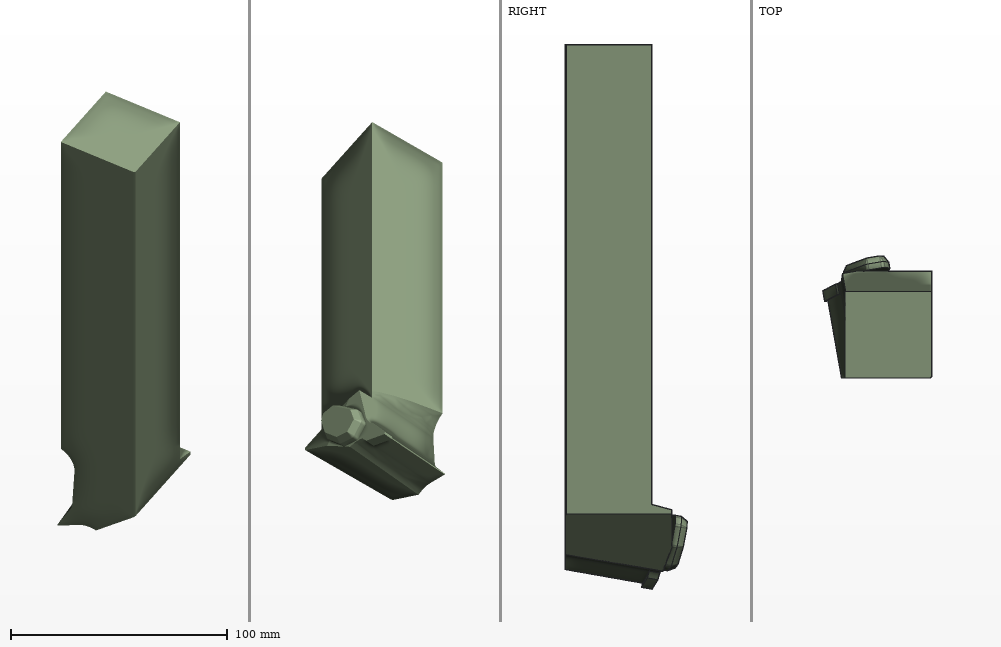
import cadquery as cq
import math

SHANK = 40.0
TOTAL_LENGTH = 251.35
CORNER_CHAMFER = 0.7

HEAD_TILT = 10.0
LEAN = math.tan(math.radians(HEAD_TILT))
FACE_LEVEL = 41.9
HEAD_DIRECTION = cq.Vector(-LEAN, 1, -LEAN)
CUT_REACH = 65.0
FAR = 100.0

HEAD_BACK = 49.3
END_CUT_START = 35.0
HEAD_LEFT = -15.0
SHOULDER_TOP = 39.2
SHOULDER_DROP = 2.5
END_SLOPE_HIGH = 34.7
END_SLOPE_ANGLE = 41.7

GROOVE_RADIUS = 10.6
GROOVE_CENTER = (-3.2, 48.1)
FLANK_ANGLE = 3.3
FLANK_BOTTOM = 26.3
RAKE_ANGLE = 28.5
RAKE_BLEND_RADIUS = 10.0
EDGE_Z = 9.8
EDGE_LAND = 0.7

CLEARANCE_ANGLE = 27.0
CLEARANCE_LENGTH = 13.2
CLEARANCE_RADIUS = 12.5
CLEARANCE_EXIT_ANGLE = 25.0

INSERT_THICKNESS = 5.0
INSERT_TIP = (-3.29, 8.18)
INSERT_LAND = (0.45, -1.1)
INSERT_RAKE_LENGTH = 13.5
INSERT_TOP = (3.0, 1.7)
INSERT_BACK = (5.5, -4.5)
INSERT_BASE_LENGTH = 12.2
INSERT_BASE_ANGLE = 23.5

LUG_OUTLINE = [
    (10.3, 34.5), (18.2, 34.5), (21, 30), (20, 20),
    (13, 10.5), (4.8, 8), (-1.8, 13.5), (-0.5, 22.5),
]
LUG_PLANE_Y = 49.0
LUG_HEIGHT = 6.0
LUG_CHAMFER_DEPTH = 3.2
LUG_CHAMFER_WIDTH = 1.8
LUG_CORNER_RADIUS = 3.81 / 2


def along(point, length, angle_from_x):
    angle = math.radians(angle_from_x)
    return (point[0] + length * math.cos(angle), point[1] + length * math.sin(angle))


def shifted(point, offset):
    return (point[0] + offset[0], point[1] + offset[1])


def oblique_prism(outline):
    """Push an (X, Z) outline held at Y = 0 along the oblique direction of the head."""
    return cq.Workplane(cq.Solid.extrudeLinear(outline.wire().val(), [], HEAD_DIRECTION * CUT_REACH))


def xz_sketch():
    return cq.Workplane(cq.Plane((0, 0, 0), (1, 0, 0), (0, -1, 0)))


def oblique_slab(low, high):
    """Material between two distances from the oblique end face."""
    plane = cq.Plane((0, FACE_LEVEL, 0), (1, LEAN, 0), HEAD_DIRECTION)
    return cq.Workplane(plane).workplane(offset=low).rect(2 * FAR, 2 * FAR).extrude(high - low)


def make_blank():
    shank = cq.Workplane().box(SHANK, SHANK, TOTAL_LENGTH, centered=False)
    head = (
        cq.Workplane("YZ", origin=(HEAD_LEFT, 0, 0))
        .polyline([(0, 0), (HEAD_BACK, 0), (HEAD_BACK, SHOULDER_TOP - SHOULDER_DROP),
                   (SHANK, SHOULDER_TOP), (0, SHOULDER_TOP)])
        .close()
        .extrude(SHANK - HEAD_LEFT)
    )
    end_low = END_SLOPE_HIGH - SHANK * math.tan(math.radians(END_SLOPE_ANGLE))
    end_cut = (
        xz_sketch()
        .polyline([(SHANK, END_SLOPE_HIGH), (0, end_low), (SHANK, end_low)])
        .close()
        .extrude(-FAR)
    )
    blank = shank.union(head).cut(end_cut)
    return blank.edges("|Z and >X and <Y").chamfer(CORNER_CHAMFER)


def rake_points():
    """Corner points of the groove and rake, from the groove down to the holder edge."""
    groove_end = along(GROOVE_CENTER, GROOVE_RADIUS, -FLANK_ANGLE)
    flank_drop = groove_end[1] - FLANK_BOTTOM
    flank_end = (groove_end[0] - flank_drop * math.tan(math.radians(FLANK_ANGLE)), FLANK_BOTTOM)
    blend_center = along(flank_end, RAKE_BLEND_RADIUS, 180 - FLANK_ANGLE)
    blend_middle = along(blend_center, RAKE_BLEND_RADIUS, -(FLANK_ANGLE + RAKE_ANGLE) / 2)
    rake_top = along(blend_center, RAKE_BLEND_RADIUS, -RAKE_ANGLE)
    rake_drop = rake_top[1] - EDGE_Z
    edge = (rake_top[0] - rake_drop * math.tan(math.radians(RAKE_ANGLE)), EDGE_Z)
    return groove_end, flank_end, blend_middle, rake_top, edge


def make_rake_cut():
    groove_end, flank_end, blend_middle, rake_top, edge = rake_points()
    groove_top = along(GROOVE_CENTER, GROOVE_RADIUS, 90)
    groove_middle = along(GROOVE_CENTER, GROOVE_RADIUS, 45)
    outline = (
        xz_sketch()
        .moveTo(*groove_top)
        .threePointArc(groove_middle, groove_end)
        .lineTo(*flank_end)
        .threePointArc(blend_middle, rake_top)
        .lineTo(*edge)
        .lineTo(edge[0], -FAR)
        .lineTo(-FAR, -FAR)
        .lineTo(-FAR, groove_top[1])
        .close()
    )
    return oblique_prism(outline)


def make_clearance_cut():
    edge = shifted(rake_points()[-1], (0, -EDGE_LAND))
    before_edge = along(edge, -EDGE_Z, CLEARANCE_ANGLE)
    round_start = along(edge, CLEARANCE_LENGTH, CLEARANCE_ANGLE)
    center = along(round_start, CLEARANCE_RADIUS, CLEARANCE_ANGLE - 90)
    crest = along(center, CLEARANCE_RADIUS, 90)
    round_end = along(center, CLEARANCE_RADIUS, 90 - CLEARANCE_EXIT_ANGLE)
    outline = (
        xz_sketch()
        .moveTo(*before_edge)
        .lineTo(*round_start)
        .threePointArc(crest, round_end)
        .lineTo(round_end[0], -FAR)
        .lineTo(before_edge[0], -FAR)
        .close()
    )
    return oblique_prism(outline)


def make_insert():
    land_end = shifted(INSERT_TIP, INSERT_LAND)
    rake_end = along(INSERT_TIP, INSERT_RAKE_LENGTH, 90 - RAKE_ANGLE)
    top_end = shifted(rake_end, INSERT_TOP)
    back_end = shifted(top_end, INSERT_BACK)
    base_end = along(land_end, INSERT_BASE_LENGTH, INSERT_BASE_ANGLE)
    outline = xz_sketch().polyline([INSERT_TIP, rake_end, top_end, back_end, base_end, land_end]).close()
    return oblique_prism(outline).intersect(oblique_slab(-INSERT_THICKNESS, 0))


def make_lug():
    at_origin = [(x + LEAN * LUG_PLANE_Y, z + LEAN * LUG_PLANE_Y) for x, z in LUG_OUTLINE]
    lug = oblique_prism(xz_sketch().polyline(at_origin).close())
    lug = lug.intersect(oblique_slab(0, LUG_HEIGHT))
    lug = lug.edges(cq.selectors.ParallelDirSelector(HEAD_DIRECTION)).fillet(LUG_CORNER_RADIUS)
    outer_face = lug.faces(cq.selectors.DirectionMinMaxSelector(HEAD_DIRECTION, True)).val()
    return lug.newObject([outer_face]).edges().chamfer(LUG_CHAMFER_WIDTH, LUG_CHAMFER_DEPTH)


def make_end_face_cut():
    """Everything beyond the oblique end face, limited to the head so that the shank stays whole."""
    head_zone = cq.Workplane().box(2 * FAR, CUT_REACH, FAR).translate((0, END_CUT_START + CUT_REACH / 2, 0))
    return oblique_slab(0, FAR).intersect(head_zone)


insert = make_insert()
holder = (
    make_blank()
    .cut(make_rake_cut())
    .cut(make_clearance_cut())
    .cut(make_end_face_cut())
    .union(make_lug())
    .cut(insert)
)

result = cq.Compound.makeCompound([holder.solids().val(), insert.solids().val()])